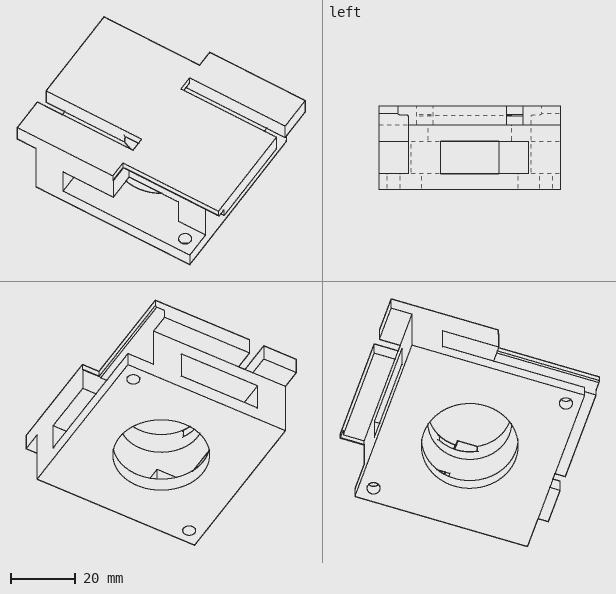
import cadquery as cq

TOP_LENGTH = 70.0
BASE_SIDE = 56.4
HEIGHT = 26.0

BASE_TOP = 5.0
DECK_BOTTOM = 15.0
OVERHANG_BOTTOM = 20.0

LEG_SIDE = 10.0
BODY_EDGE = 19.0

LIP_EDGE = 22.3
LIP_THICKNESS = 2.9
LIP_BEVEL = 0.5
LIP_ROOT_RADIUS = 0.5
ARM_LEDGE = 0.2

SLOT_INNER = 11.45
SLOT_OUTER = 16.5
SLOT_POCKET_DEPTH = 8.0
SLOT_POCKET_TOP = 22.8
SLOT_BEVEL = 0.5

BORE_RADIUS = 13.0
BASE_HOLE_RADIUS = 15.0
BORE_TOP = 23.0
SCREW_HOLE_DIAMETER = 4.0
SCREW_HOLE_OFFSET = 23.6

HALF_TOP = TOP_LENGTH / 2
HALF_BASE = BASE_SIDE / 2
LIP_BOTTOM = HEIGHT - LIP_THICKNESS
LIP_BEVEL_TOP = LIP_BOTTOM + LIP_BEVEL


def block(x_range, y_range, z_range):
    """Box spanning the given (low, high) ranges."""
    (x0, x1), (y0, y1), (z0, z1) = x_range, y_range, z_range
    return cq.Workplane("XY").box(x1 - x0, y1 - y0, z1 - z0, centered=False).translate((x0, y0, z0))


def half_turn(shape):
    """Copy of a shape turned 180 degrees about the vertical centre line."""
    return shape.rotate((0, 0, 0), (0, 0, 1), 180)


def make_base():
    return block((-HALF_BASE, HALF_BASE), (-HALF_BASE, HALF_BASE), (0, BASE_TOP))


def make_legs():
    """The two legs under the -X half."""
    leg_x = (-HALF_BASE, -HALF_BASE + LEG_SIDE)
    leg_z = (BASE_TOP, DECK_BOTTOM)
    arm_leg = block(leg_x, (-HALF_BASE, -HALF_BASE + LEG_SIDE), leg_z)
    lip_leg = block(leg_x, (BODY_EDGE - LEG_SIDE, BODY_EDGE), leg_z)
    return arm_leg.union(lip_leg)


def make_deck():
    """Deck of the -X half: body, end overhang and the foot of the arm."""
    body = block((-HALF_BASE, 0), (-HALF_BASE, BODY_EDGE), (DECK_BOTTOM, HEIGHT))
    overhang = block((-HALF_TOP, 0), (-HALF_BASE, BODY_EDGE), (OVERHANG_BOTTOM, HEIGHT))
    ledge = block((0, ARM_LEDGE), (-HALF_BASE, -BODY_EDGE), (DECK_BOTTOM, LIP_BEVEL_TOP))
    return body.union(overhang).union(ledge)


def make_lip():
    """Lip along the +Y side of the -X half, bevelled at its tip and rounded at its root."""
    return (
        cq.Workplane("YZ")
        .moveTo(BODY_EDGE, HEIGHT)
        .lineTo(LIP_EDGE, HEIGHT)
        .lineTo(LIP_EDGE, LIP_BEVEL_TOP)
        .lineTo(LIP_EDGE - LIP_BEVEL, LIP_BOTTOM)
        .lineTo(BODY_EDGE + LIP_ROOT_RADIUS, LIP_BOTTOM)
        .radiusArc((BODY_EDGE, LIP_BOTTOM - LIP_ROOT_RADIUS), -LIP_ROOT_RADIUS)
        .close()
        .extrude(-HALF_TOP)
    )


def make_slot():
    """Slot from the -X end to the middle, running on as a bevelled undercut pocket."""
    return (
        cq.Workplane("XZ", origin=(0, -SLOT_INNER, 0))
        .moveTo(-HALF_TOP, HEIGHT)
        .lineTo(0, HEIGHT)
        .lineTo(0, SLOT_POCKET_TOP + SLOT_BEVEL)
        .lineTo(SLOT_BEVEL, SLOT_POCKET_TOP)
        .lineTo(SLOT_POCKET_DEPTH, SLOT_POCKET_TOP)
        .lineTo(SLOT_POCKET_DEPTH, OVERHANG_BOTTOM)
        .lineTo(-HALF_TOP, OVERHANG_BOTTOM)
        .close()
        .extrude(SLOT_OUTER - SLOT_INNER)
    )


def make_bore():
    """Blind round bore under a thin roof, with a wider hole through the base."""
    bore = cq.Workplane("XY").circle(BORE_RADIUS).extrude(BORE_TOP)
    base_hole = cq.Workplane("XY").circle(BASE_HOLE_RADIUS).extrude(BASE_TOP)
    return bore.union(base_hole)


def make_screw_holes():
    """Screw holes through the two base corners that the arms leave open."""
    centres = [(-SCREW_HOLE_OFFSET, SCREW_HOLE_OFFSET), (SCREW_HOLE_OFFSET, -SCREW_HOLE_OFFSET)]
    return cq.Workplane("XY").pushPoints(centres).circle(SCREW_HOLE_DIAMETER / 2).extrude(BASE_TOP)


upper_half = make_legs().union(make_deck()).union(make_lip())
solid = make_base().union(upper_half).union(half_turn(upper_half))

slot = make_slot()
result = solid.cut(slot).cut(half_turn(slot)).cut(make_bore()).cut(make_screw_holes())